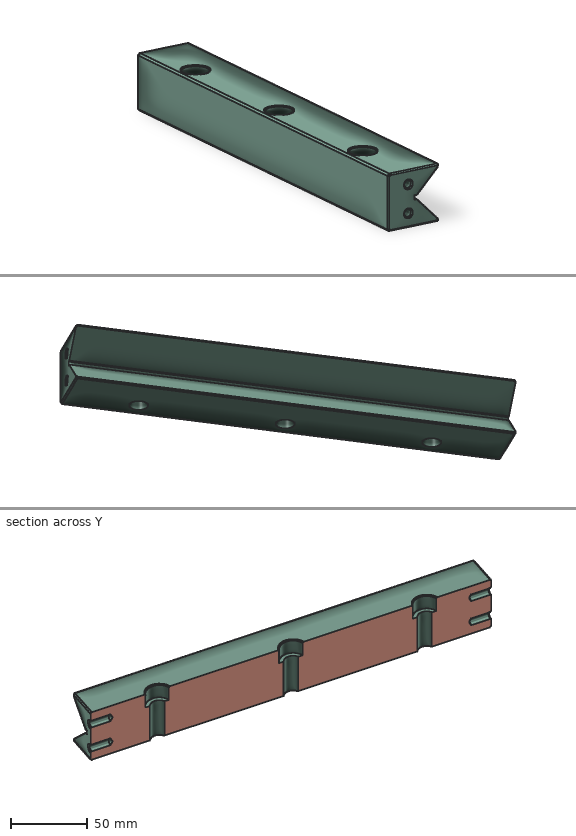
import cadquery as cq
import math

LENGTH = 300.0
WIDTH = 40.0
HEIGHT = 40.0
LONG_CHAMFER = 1.4
END_CHAMFER = 1.0
LIP_CHAMFER = 0.6

LIP_THICKNESS = 1.25
RELIEF_WIDTH = 3.0
RELIEF_DEPTH = 19.0

MOUNT_PITCH = 100.0
MOUNT_Y = -7.0
BOLT_DIAMETER = 12.5
HEAD_DIAMETER = 18.5
HEAD_DEPTH = 11.0
HEAD_CHAMFER = 0.75

END_HOLE_Y = -4.0
END_HOLE_PITCH = 20.0
CORE_DIAMETER = 5.25
CORE_DEPTH = 15.0
CORE_MOUTH_DIAMETER = 7.0
DRILL_TIP_ANGLE = 118.0
DRILL_TIP_DEPTH = CORE_DIAMETER / 2 / math.tan(math.radians(DRILL_TIP_ANGLE / 2))


def bar_blank():
    """Rectangular bar with its long edges and end-face edges chamfered."""
    blank = cq.Workplane("XY").box(LENGTH, WIDTH, HEIGHT)
    blank = blank.edges("|X and <Y").chamfer(LONG_CHAMFER)
    blank = blank.edges("|X and >Y").chamfer(LIP_CHAMFER)
    return blank.faces("<X or >X").edges().chamfer(END_CHAMFER)


def v_groove():
    """Prism that cuts the V groove and its relief slot over the full length."""
    mouth_y = WIDTH / 2
    mouth_half = HEIGHT / 2 - LIP_THICKNESS
    relief_half = RELIEF_WIDTH / 2
    flank_end_y = mouth_y - (mouth_half - relief_half)
    relief_floor_y = mouth_y - RELIEF_DEPTH
    outline = [
        (mouth_y, mouth_half),
        (flank_end_y, relief_half),
        (relief_floor_y, relief_half),
        (relief_floor_y, -relief_half),
        (flank_end_y, -relief_half),
        (mouth_y, -mouth_half),
    ]
    return cq.Workplane("YZ").polyline(outline).close().extrude(LENGTH / 2, both=True)


def mounting_hole(x):
    """Revolved cutter for one through hole with a chamfered counterbore."""
    bolt_radius = BOLT_DIAMETER / 2
    head_radius = HEAD_DIAMETER / 2
    top = HEIGHT / 2
    profile = [
        (0, -top),
        (bolt_radius, -top),
        (bolt_radius, top - HEAD_DEPTH),
        (head_radius, top - HEAD_DEPTH),
        (head_radius, top - HEAD_CHAMFER),
        (head_radius + HEAD_CHAMFER, top),
        (0, top),
    ]
    cutter = cq.Workplane("XZ").polyline(profile).close().revolve(360, (0, 0), (0, 1))
    return cutter.translate((x, MOUNT_Y, 0))


def end_hole(z):
    """Revolved cutter for one blind hole entering the -X end face."""
    core_radius = CORE_DIAMETER / 2
    mouth_radius = CORE_MOUTH_DIAMETER / 2
    profile = [
        (0, 0),
        (0, mouth_radius),
        (mouth_radius - core_radius, core_radius),
        (CORE_DEPTH, core_radius),
        (CORE_DEPTH + DRILL_TIP_DEPTH, 0),
    ]
    cutter = cq.Workplane("XY").polyline(profile).close().revolve(360, (0, 0), (1, 0))
    return cutter.translate((-LENGTH / 2, END_HOLE_Y, z))


result = bar_blank().cut(v_groove())

for x in (-MOUNT_PITCH, 0, MOUNT_PITCH):
    result = result.cut(mounting_hole(x))

for z in (-END_HOLE_PITCH / 2, END_HOLE_PITCH / 2):
    near_hole = end_hole(z)
    result = result.cut(near_hole).cut(near_hole.mirror("YZ"))